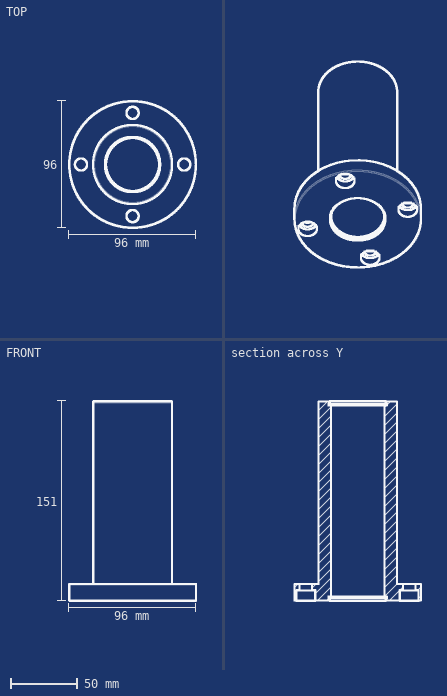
import cadquery as cq

total_height = 151.0
flange_diameter = 96.0
flange_thickness = 12.8
tube_diameter = 60.0

bore_diameter = 40.0
mouth_diameter = 42.0
groove_diameter = 44.0
mouth_depth = 2.1
groove_width = 1.0

bolt_count = 4
bolt_circle_diameter = 78.0
bolt_hole_diameter = 9.0
counterbore_diameter = 14.0
counterbore_depth = 7.9

tube_fillet = 1.2
flange_fillet = 0.8


def cylinder(diameter, height, base_z=0.0):
    """Upright cylinder on the central axis, starting at base_z."""
    return cq.Workplane("XY").workplane(offset=base_z).circle(diameter / 2).extrude(height)


def flanged_tube():
    """Solid flange and tube with rounded outer edges."""
    flange = cylinder(flange_diameter, flange_thickness).edges().fillet(flange_fillet)
    tube = cylinder(tube_diameter, total_height).faces(">Z").edges().fillet(tube_fillet)
    return flange.union(tube)


def bore():
    """Through bore, widened at both ends by a mouth and a ring groove."""
    cutter = cylinder(bore_diameter, total_height)
    recess_depth = mouth_depth + groove_width
    for mouth_z, groove_z in (
        (0.0, mouth_depth),
        (total_height - mouth_depth, total_height - recess_depth),
    ):
        cutter = cutter.union(cylinder(mouth_diameter, mouth_depth, mouth_z))
        cutter = cutter.union(cylinder(groove_diameter, groove_width, groove_z))
    return cutter


def bolt_holes():
    """Ring of counterbored through holes, centred on the X and Y axes."""
    hole = cylinder(bolt_hole_diameter, flange_thickness)
    hole = hole.union(cylinder(counterbore_diameter, counterbore_depth))
    hole = hole.translate((bolt_circle_diameter / 2, 0, 0))
    pattern = hole
    for index in range(1, bolt_count):
        angle = index * 360 / bolt_count
        pattern = pattern.union(hole.rotate((0, 0, 0), (0, 0, 1), angle))
    return pattern


result = flanged_tube().cut(bore()).cut(bolt_holes())